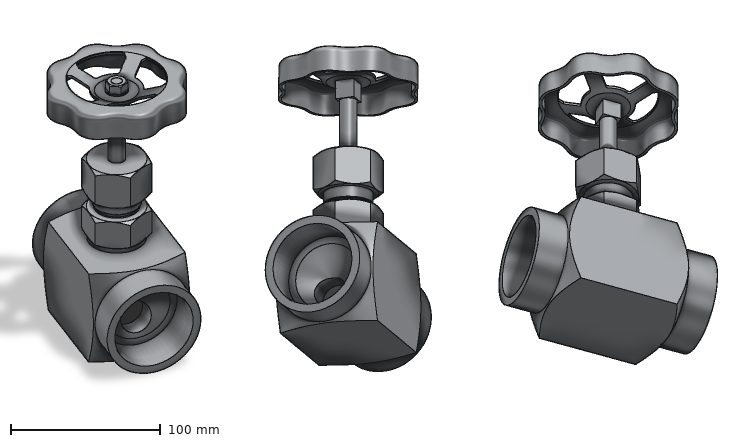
import cadquery as cq
import math

body_width = 70.0
body_length = 88.0
body_chamfer_angle = 30.0
port_span = 130.0
port_diameter = 68.0
socket_diameter = 56.7
socket_depth = 28.1
cone_mouth_diameter = 46.5
cone_half_angle = 70.0
passage_diameter = 22.0
passage_tilt = 10.0
passage_floor_x = 18.5
passage_floor_drop = 11.5

collar_diameter = 40.0
neck_diameter = 29.9
neck_flare = 0.5
flange_diameter = 33.2
stem_diameter = 12.0
nut_flats = 41.0
nut_chamfer_diameter = 40.6
lower_nut_bottom = 73.5
lower_nut_top = 94.8
flange_bottom = 98.0
upper_nut_bottom = 105.7
upper_nut_top = 132.3

total_height = 195.4
wheel_diameter = 98.3
wheel_height = 18.5
wheel_fillet = 4.7
wheel_wall = 2.0
lobe_count = 8
lobe_radius = 15.6
hollow_radius = 21.0
dish_diameter = 68.0
dish_depth = 9.0
hub_diameter = 29.9
square_side = 13.0
square_bottom = 171.5
window_inner_radius = 18.2
window_outer_radius = 33.5
window_width = 34.5
window_corner_radius = 2.3
spoke_width = 11.0
spoke_count = 4

lock_washer_diameter = 15.8
lock_washer_height = 1.0
lock_nut_flats = 13.3
lock_nut_chamfer_diameter = 12.7
lock_nut_height = 7.5
stem_tip_diameter = 7.6
stem_tip_recess = 0.2

axis_z = body_width / 2
wheel_bottom = total_height - wheel_height
hub_top = total_height - dish_depth
nut_chamfer_slope = math.tan(math.radians(30))


def cylinder(diameter, bottom, top):
    return cq.Workplane("XY").workplane(offset=bottom).circle(diameter / 2).extrude(top - bottom)


def turned_along_x(points):
    """Solid of revolution about the port axis from (x, radius) points."""
    profile = cq.Workplane("XY").polyline(points).close()
    return profile.revolve(360, (0, 0, 0), (1, 0, 0)).translate((0, 0, axis_z))


def hex_nut(flats, chamfer_diameter, bottom, top, chamfer_bottom=True):
    """Hexagon with corners on the X axis and turned chamfers on its ends."""
    corners = flats / math.cos(math.radians(30))
    nut = cq.Workplane("XY").workplane(offset=bottom).polygon(6, corners).extrude(top - bottom)
    chamfer_run = (corners - chamfer_diameter) / 2
    chamfer_drop = chamfer_run * nut_chamfer_slope
    turning = cylinder(corners, bottom, top)
    turning = turning.faces(">Z").chamfer(chamfer_drop, chamfer_run)
    if chamfer_bottom:
        turning = turning.faces("<Z").chamfer(chamfer_drop, chamfer_run)
    return nut.intersect(turning)


def valve_body():
    """Chamfered block with its two bored ports."""
    end_x = body_length / 2
    port_radius = port_diameter / 2
    corner_radius = body_width
    corner_x = end_x - (corner_radius - port_radius) * math.tan(math.radians(body_chamfer_angle))
    block = cq.Workplane("XY").box(body_length, body_width, body_width).translate((0, 0, axis_z))
    turning = turned_along_x([
        (-end_x, 0), (-end_x, port_radius), (-corner_x, corner_radius),
        (corner_x, corner_radius), (end_x, port_radius), (end_x, 0),
    ])
    ports = cq.Workplane("YZ").center(0, axis_z).circle(port_radius).extrude(port_span / 2, both=True)
    body = block.intersect(turning).union(ports)
    bore = port_bore()
    return body.cut(bore).cut(bore.mirror("YZ"))


def port_bore():
    """Socket, drill cone and sloping passage of the -X port."""
    face_x = -port_span / 2
    floor_x = face_x + socket_depth
    mouth_radius = cone_mouth_diameter / 2
    apex_x = floor_x + mouth_radius / math.tan(math.radians(cone_half_angle))
    socket = turned_along_x([
        (face_x, 0), (face_x, socket_diameter / 2), (floor_x, socket_diameter / 2),
        (floor_x, mouth_radius), (apex_x, 0),
    ])
    tilt = math.radians(passage_tilt)
    run = floor_x + passage_floor_x
    passage = cq.Workplane(cq.Plane(
        origin=(-passage_floor_x, 0, axis_z - passage_floor_drop),
        xDir=(0, 1, 0), normal=(-math.cos(tilt), 0, math.sin(tilt)),
    )).circle(passage_diameter / 2).extrude(-run * 2, both=True)
    passage_limit = cq.Workplane("XY").box(-run, body_width, body_width, centered=(False, True, False))
    return socket.union(passage.intersect(passage_limit.translate((floor_x, 0, 0))))


def neck():
    """Waist between the lower nut and the flange, flared at both ends."""
    waist_radius = neck_diameter / 2
    flare_radius = waist_radius + neck_flare
    profile = cq.Workplane("XZ").polyline([
        (0, lower_nut_top), (flare_radius, lower_nut_top),
        (waist_radius, lower_nut_top + neck_flare), (waist_radius, flange_bottom - neck_flare),
        (flare_radius, flange_bottom), (0, flange_bottom),
    ]).close()
    return profile.revolve(360, (0, 0, 0), (0, 1, 0))


def bonnet():
    """Collar, nuts, flange, stem and the square that carries the handwheel."""
    parts = cylinder(collar_diameter, body_width, lower_nut_bottom)
    parts = parts.union(hex_nut(nut_flats, nut_chamfer_diameter, lower_nut_bottom, lower_nut_top))
    parts = parts.union(neck())
    parts = parts.union(cylinder(flange_diameter, flange_bottom, upper_nut_bottom))
    parts = parts.union(hex_nut(nut_flats, nut_chamfer_diameter, upper_nut_bottom, upper_nut_top))
    parts = parts.union(cylinder(stem_diameter, upper_nut_top, square_bottom))
    square = cq.Workplane("XY").workplane(offset=square_bottom).rect(square_side, square_side)
    return parts.union(square.extrude(hub_top - wheel_wall - square_bottom))


def polar(radius, angle):
    return (radius * math.cos(angle), radius * math.sin(angle))


def lobed_outline(inset):
    """Tangent lobe and hollow arcs, offset inwards by the inset."""
    half_pitch = math.pi / lobe_count
    lobe_center = wheel_diameter / 2 - lobe_radius
    center_gap = lobe_radius + hollow_radius
    hollow_center = lobe_center * math.cos(half_pitch) + math.sqrt(
        center_gap**2 - (lobe_center * math.sin(half_pitch))**2)
    hollow_x, hollow_y = polar(hollow_center, half_pitch)
    lobe_share = (lobe_radius - inset) / center_gap
    joint_x = lobe_center + (hollow_x - lobe_center) * lobe_share
    joint_y = hollow_y * lobe_share
    joint_radius = math.hypot(joint_x, joint_y)
    joint_angle = math.atan2(joint_y, joint_x)
    crest_radius = wheel_diameter / 2 - inset
    valley_radius = hollow_center - hollow_radius - inset
    outline = cq.Workplane("XY").moveTo(*polar(joint_radius, -joint_angle))
    for lobe in range(lobe_count):
        turn = 2 * half_pitch * lobe
        lobe_end = polar(joint_radius, turn + joint_angle)
        next_lobe = polar(joint_radius, turn + 2 * half_pitch - joint_angle)
        outline = outline.threePointArc(polar(crest_radius, turn), lobe_end)
        outline = outline.threePointArc(polar(valley_radius, turn + half_pitch), next_lobe)
    return outline.close()


def lobed_block(inset, top_fillet):
    """Rounded wheel blank, inset from the outer faces of the wheel."""
    block = lobed_outline(inset).extrude(wheel_height - inset)
    return block.faces(">Z").edges().fillet(top_fillet).translate((0, 0, wheel_bottom))


def dish(drop):
    """Truncated cone sunk into the wheel, lowered by the drop."""
    profile = cq.Workplane("XZ").polyline([
        (0, total_height - drop), (dish_diameter / 2, total_height - drop),
        (hub_diameter / 2, hub_top - drop), (0, hub_top - drop),
    ]).close()
    return profile.revolve(360, (0, 0, 0), (0, 1, 0))


def window():
    """Opening between two spokes, on the +X side."""
    reach = wheel_diameter / 2
    half_width = window_width / 2
    apex = spoke_width / 2 * math.sqrt(2)
    wedge = cq.Workplane("XY").polyline([
        (apex, 0), (apex + half_width, -half_width), (reach, -half_width),
        (reach, half_width), (apex + half_width, half_width),
    ]).close().extrude(total_height)
    ring = cq.Workplane("XY").circle(window_outer_radius).circle(window_inner_radius).extrude(total_height)
    opening = wedge.intersect(ring)
    return opening.edges("|Z and <X").fillet(window_corner_radius)


def handwheel():
    """Lobed shell with its dished centre and the openings between spokes."""
    wheel = lobed_block(0, wheel_fillet).cut(lobed_block(wheel_wall, wheel_fillet - wheel_wall))
    wheel = wheel.union(dish(wheel_wall)).cut(dish(0))
    for spoke in range(spoke_count):
        wheel = wheel.cut(window().rotate((0, 0, 0), (0, 0, 1), spoke * 360 / spoke_count))
    return wheel


def lock_nut():
    """Hexagon on a round washer, with the stem end slightly sunk in its top."""
    washer_top = hub_top + lock_washer_height
    nut = cylinder(lock_washer_diameter, hub_top, washer_top)
    nut_top = hub_top + lock_nut_height
    nut = nut.union(hex_nut(lock_nut_flats, lock_nut_chamfer_diameter, washer_top, nut_top, False))
    return nut.cut(cylinder(stem_tip_diameter, nut_top - stem_tip_recess, nut_top))


result = valve_body().union(bonnet()).union(handwheel()).union(lock_nut())